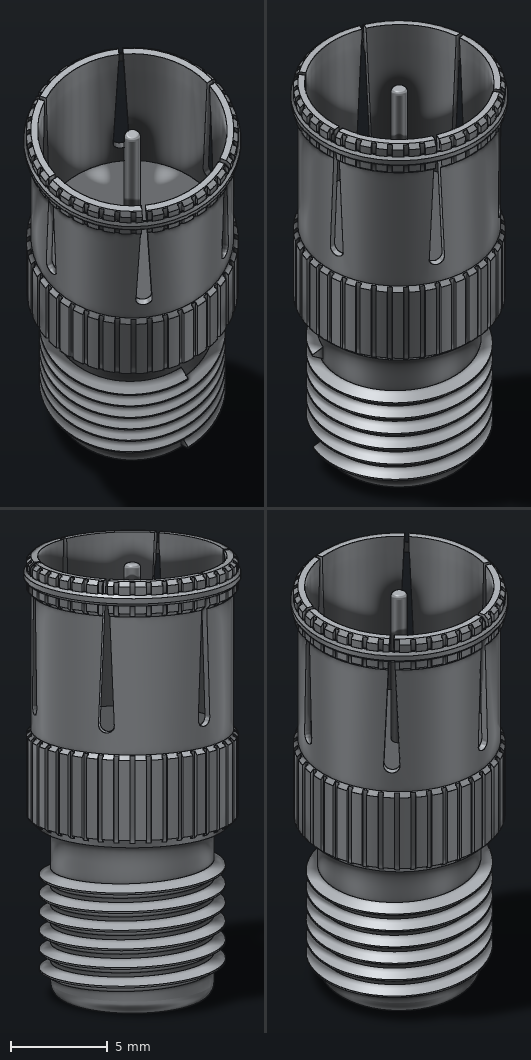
import cadquery as cq
import math

TOTAL_HEIGHT = 23.5
COLLAR_BOTTOM = 9.21
COLLAR_TOP = 14.25
SOCKET_FLOOR = COLLAR_TOP
RIM_BOTTOM = 21.6

NECK_RADIUS = 4.23
NECK_FILLET = 0.8
TUBE_RADIUS = 5.25
BORE_RADIUS = 4.89
KNURL_RADIUS = 5.48
COLLAR_BOTTOM_CHAMFER = 0.52
KNURL_CHAMFER = KNURL_RADIUS - TUBE_RADIUS

GROOVE_COUNT = 40
GROOVE_WIDTH = 0.25
GROOVE_FLOOR_RADIUS = 5.29

BEAD_OUTER_RADIUS = 5.62
BEAD_INNER_RADIUS = 5.38
BEAD_CENTER_Z = 22.54
BEAD_HEIGHT = 0.6
BEAD_CHAMFER = 0.16

SLOT_COUNT = 6
SLOT_BOTTOM = 15.37
SLOT_END_RADIUS = 0.42
SLOT_TOP_WIDTH = 0.2
FIRST_SLOT_ANGLE = 30.0

PIN_RADIUS = 0.42
PIN_TOP = 23.1
PIN_FILLET = 0.2

THREAD_TURNS = 6
THREAD_RISE = 5.97
THREAD_START_Z = 1.13
THREAD_CREST_RADIUS = 4.82
THREAD_FLANK_ANGLE = 30.0
THREAD_CREST_WIDTH = 0.1
THREAD_OVERLAP = 0.1

CLEARANCE = 0.24


def ring(inner_radius, outer_radius, bottom, top):
    """Plain ring about the Z axis."""
    return (
        cq.Workplane("XY", origin=(0, 0, bottom))
        .circle(outer_radius)
        .circle(inner_radius)
        .extrude(top - bottom)
    )


def around_axis(shape, count, first_angle=0.0):
    """Compound of copies of a shape evenly spaced about the Z axis."""
    copies = [
        shape.rotate((0, 0, 0), (0, 0, 1), first_angle + index * 360.0 / count).val()
        for index in range(count)
    ]
    return cq.Workplane(cq.Compound.makeCompound(copies))


def turned_body():
    """Neck, knurled collar, socket tube and rim before the grooves are cut."""
    neck = cq.Workplane("XY").circle(NECK_RADIUS).extrude(SOCKET_FLOOR)
    neck = neck.faces("<Z").edges().fillet(NECK_FILLET)
    collar = (
        cq.Workplane("XY", origin=(0, 0, COLLAR_BOTTOM))
        .circle(KNURL_RADIUS)
        .extrude(COLLAR_TOP - COLLAR_BOTTOM)
        .faces("<Z").chamfer(COLLAR_BOTTOM_CHAMFER)
        .faces(">Z").chamfer(KNURL_CHAMFER)
    )
    tube = ring(BORE_RADIUS, TUBE_RADIUS, COLLAR_BOTTOM + COLLAR_BOTTOM_CHAMFER, TOTAL_HEIGHT)
    rim = (
        cq.Workplane("XY", origin=(0, 0, RIM_BOTTOM))
        .circle(KNURL_RADIUS)
        .extrude(TOTAL_HEIGHT - RIM_BOTTOM)
        .faces("<Z or >Z").chamfer(KNURL_CHAMFER)
    )
    socket_depth = TOTAL_HEIGHT - SOCKET_FLOOR
    socket = cq.Workplane("XY", origin=(0, 0, SOCKET_FLOOR)).circle(BORE_RADIUS).extrude(socket_depth)
    return neck.union(collar).union(tube).union(rim).cut(socket)


def knurl_grooves():
    """Straight grooves that run up the collar and the rim."""
    groove = cq.Workplane("XY").box(
        KNURL_RADIUS + CLEARANCE - GROOVE_FLOOR_RADIUS,
        GROOVE_WIDTH,
        TOTAL_HEIGHT + CLEARANCE - COLLAR_BOTTOM,
        centered=(False, True, False),
    )
    return around_axis(groove.translate((GROOVE_FLOOR_RADIUS, 0, COLLAR_BOTTOM)), GROOVE_COUNT)


def spring_slots():
    """Slots with a round lower end that narrow toward the open top."""
    end_center_z = SLOT_BOTTOM + SLOT_END_RADIUS
    half_top = SLOT_TOP_WIDTH / 2
    slot = (
        cq.Workplane("YZ")
        .moveTo(-half_top, TOTAL_HEIGHT)
        .lineTo(-SLOT_END_RADIUS, end_center_z)
        .threePointArc((0, SLOT_BOTTOM), (SLOT_END_RADIUS, end_center_z))
        .lineTo(half_top, TOTAL_HEIGHT)
        .close()
        .extrude(KNURL_RADIUS + CLEARANCE)
    )
    core = cq.Workplane("XY").circle(BORE_RADIUS - CLEARANCE).extrude(TOTAL_HEIGHT)
    return around_axis(slot.cut(core), SLOT_COUNT, FIRST_SLOT_ANGLE)


def snap_bead():
    """Closed bead that bridges the grooves and slots of the rim."""
    bottom = BEAD_CENTER_Z - BEAD_HEIGHT / 2
    bead = ring(BEAD_INNER_RADIUS, BEAD_OUTER_RADIUS, bottom, bottom + BEAD_HEIGHT)
    outer_edges = cq.selectors.RadiusNthSelector(-1)
    return bead.edges(outer_edges).chamfer(BEAD_CHAMFER)


def center_pin():
    """Contact pin with a rounded tip, standing on the socket floor."""
    pin = (
        cq.Workplane("XY", origin=(0, 0, COLLAR_BOTTOM))
        .circle(PIN_RADIUS)
        .extrude(PIN_TOP - COLLAR_BOTTOM)
    )
    return pin.faces(">Z").edges().fillet(PIN_FILLET)


def neck_thread():
    """Right-hand thread ridge, starting and ending on the +X side."""
    pitch = THREAD_RISE / THREAD_TURNS
    root_radius = NECK_RADIUS - THREAD_OVERLAP
    helix = cq.Wire.makeHelix(pitch, THREAD_RISE, root_radius).translate((0, 0, THREAD_START_Z))
    half_crest = THREAD_CREST_WIDTH / 2
    flank_slope = math.tan(math.radians(THREAD_FLANK_ANGLE))
    half_root = half_crest + (THREAD_CREST_RADIUS - root_radius) * flank_slope
    profile = (
        cq.Workplane("XZ")
        .moveTo(root_radius, THREAD_START_Z - half_root)
        .lineTo(THREAD_CREST_RADIUS, THREAD_START_Z - half_crest)
        .lineTo(THREAD_CREST_RADIUS, THREAD_START_Z + half_crest)
        .lineTo(root_radius, THREAD_START_Z + half_root)
        .close()
    )
    return profile.sweep(cq.Workplane(helix), isFrenet=True)


result = (
    turned_body()
    .cut(knurl_grooves())
    .cut(spring_slots())
    .union(snap_bead())
    .union(center_pin())
    .union(neck_thread())
)